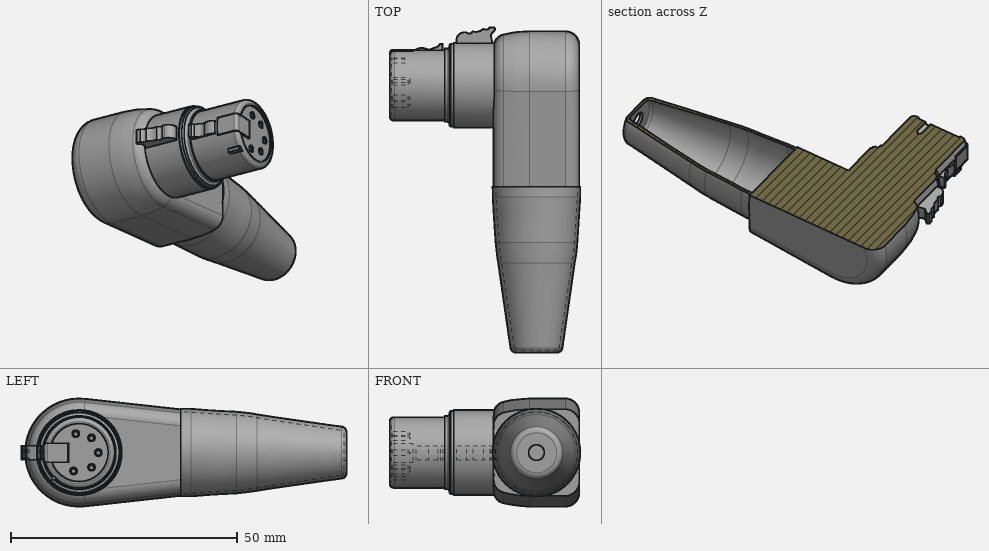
import cadquery as cq
import math


HEAD_DIAMETER = 24.0
HEAD_RADIUS = HEAD_DIAMETER / 2
HOUSING_HALF_WIDTH = 9.5
HOUSING_END_Y = -22.5
TAPER_ANGLE = 6.3
BACK_EDGE_RADIUS = 3.2
FRONT_EDGE_RADIUS = 2.95
CROWN_RADIUS = 22.3
CROWN_ANGLE = 15.0

BOOT_COLLAR_RADIUS = 9.7
BOOT_COLLAR_END_Y = -24.7
BOOT_BEND_START_Y = -34.8
BOOT_BEND_START_RADIUS = 9.1
BOOT_BEND_END_Y = -39.25
BOOT_BEND_END_RADIUS = 8.5
BOOT_TIP_Y = -59.2
BOOT_TIP_RADIUS = 5.6
BOOT_TIP_FILLET = 1.4
CABLE_HOLE_RADIUS = 1.7
BOOT_WALL = 0.7

FACE_X = -32.5
NOSE_RADIUS = 7.85
NOSE_FILLET = 1.0
NOSE_END_X = -20.3
LIP_RADIUS = 8.15
LIP_END_X = -19.75
SHOULDER_X = -19.3
SHOULDER_RADIUS = 9.2
SHOULDER_CHAMFER = 0.35
SLEEVE_X = -18.3
SLEEVE_RADIUS = 9.4

RECESS_RADIUS = 6.4
RECESS_DEPTH = 0.35
CONTACT_CIRCLE_RADIUS = 4.25
CONTACT_MOUTH_RADIUS = 0.8
CONTACT_HOLE_RADIUS = 0.6
CONTACT_HOLE_DEPTH = 3.6
CONTACT_ANGLES = (-107.0, -50.0, 0.0, 50.0, 100.0)

LATCH_BLOCK_WIDTH = 4.2
LATCH_BLOCK_DEPTH = 5.1
LATCH_BLOCK_BOTTOM_Y = 2.3
LATCH_BLOCK_CHAMFER = 0.2
LATCH_BLOCK_FILLET = 0.8
LATCH_WIDTH = 3.1
LATCH_ROOT_Y = 6.85
TOOTH_TOP_Y = 9.15
TOOTH_BACK_X = -20.75
BUMP_START_X = -26.7
BUMP_TOP = (-25.35, 8.3)
BUMP_END_X = -24.0
LEVER_TOP_Y = 12.8
LEVER_FRONT_X = -17.7
LEVER_BACK_X = -9.7

KEY_WIDTH = 1.9
KEY_HEIGHT = 0.9
KEY_LENGTH = 2.9
KEY_Y = 5.2
KEY_Z = -5.6
KEY_SETBACK = 0.4


def make_housing():
    """Crowned section revolved into the head and run out along both tapered sides."""
    crown = math.radians(CROWN_ANGLE)
    half_crown = crown / 2
    front_edge_x = -HOUSING_HALF_WIDTH + FRONT_EDGE_RADIUS * (1 - math.sin(crown))
    crown_start_x = front_edge_x + CROWN_RADIUS * math.sin(crown)
    front_edge_r = HEAD_RADIUS - CROWN_RADIUS * (1 - math.cos(crown))
    front_face_r = front_edge_r - FRONT_EDGE_RADIUS * math.cos(crown)
    crown_mid = (
        crown_start_x - CROWN_RADIUS * math.sin(half_crown),
        HEAD_RADIUS - CROWN_RADIUS * (1 - math.cos(half_crown)),
    )
    back_edge_x = HOUSING_HALF_WIDTH - BACK_EDGE_RADIUS

    section = (
        cq.Workplane("XZ")
        .moveTo(-HOUSING_HALF_WIDTH, 0)
        .lineTo(HOUSING_HALF_WIDTH, 0)
        .lineTo(HOUSING_HALF_WIDTH, HEAD_RADIUS - BACK_EDGE_RADIUS)
        .tangentArcPoint((back_edge_x, HEAD_RADIUS), relative=False)
        .lineTo(crown_start_x, HEAD_RADIUS)
        .threePointArc(crown_mid, (front_edge_x, front_edge_r))
        .tangentArcPoint((-HOUSING_HALF_WIDTH, front_face_r), relative=False)
        .close()
        .wire()
    )
    head = cq.Workplane("XZ").add(section).toPending().revolve(360, (0, 0), (1, 0))
    side = cq.Workplane("XZ").add(section).toPending().extrude(2 * abs(HOUSING_END_Y))
    upper_side = side.rotate((0, 0, 0), (1, 0, 0), TAPER_ANGLE)
    lower_side = upper_side.mirror("XY")
    keep_length = HEAD_RADIUS - HOUSING_END_Y
    keep = (
        cq.Workplane("XY")
        .box(2 * HOUSING_HALF_WIDTH, keep_length, HEAD_DIAMETER)
        .translate((0, HEAD_RADIUS - keep_length / 2, 0))
    )
    return head.union(upper_side).union(lower_side).intersect(keep)


def boot_solid(inset):
    """Turned boot shape around the cable axis, with every outer face moved in by inset."""
    tip_y = BOOT_TIP_Y + inset
    return (
        cq.Workplane("XY")
        .moveTo(0, HOUSING_END_Y)
        .lineTo(BOOT_COLLAR_RADIUS - inset, HOUSING_END_Y)
        .lineTo(BOOT_COLLAR_RADIUS - inset, BOOT_COLLAR_END_Y)
        .lineTo(BOOT_BEND_START_RADIUS - inset, BOOT_BEND_START_Y)
        .tangentArcPoint((BOOT_BEND_END_RADIUS - inset, BOOT_BEND_END_Y), relative=False)
        .lineTo(BOOT_TIP_RADIUS - inset, tip_y)
        .lineTo(0, tip_y)
        .close()
        .revolve(360, (0, 0), (0, 1))
        .faces("<Y")
        .edges()
        .fillet(BOOT_TIP_FILLET - inset)
    )


def make_boot():
    """Hollow strain relief with a cable hole through its tip wall."""
    cable_hole = (
        cq.Workplane("XZ", origin=(0, BOOT_TIP_Y, 0))
        .circle(CABLE_HOLE_RADIUS)
        .extrude(-2 * BOOT_WALL)
    )
    return boot_solid(0).cut(boot_solid(BOOT_WALL)).cut(cable_hole)


def make_barrel():
    """Turned plug barrel: nose, lip, concave neck, chamfered shoulder and sleeve."""
    neck_radius = SHOULDER_RADIUS - SHOULDER_CHAMFER
    return (
        cq.Workplane("XY")
        .moveTo(FACE_X, 0)
        .lineTo(FACE_X, NOSE_RADIUS - NOSE_FILLET)
        .tangentArcPoint((FACE_X + NOSE_FILLET, NOSE_RADIUS), relative=False)
        .lineTo(NOSE_END_X, NOSE_RADIUS)
        .lineTo(NOSE_END_X, LIP_RADIUS)
        .lineTo(LIP_END_X, LIP_RADIUS)
        .tangentArcPoint((SHOULDER_X, neck_radius), relative=False)
        .lineTo(SHOULDER_X + SHOULDER_CHAMFER, SHOULDER_RADIUS)
        .lineTo(SLEEVE_X, SHOULDER_RADIUS)
        .lineTo(SLEEVE_X, SLEEVE_RADIUS)
        .lineTo(0, SLEEVE_RADIUS)
        .lineTo(0, 0)
        .close()
        .revolve(360, (0, 0), (1, 0))
    )


def make_contact_cuts():
    """Shallow round recess in the plug face with a ring of countersunk, cone-bottomed holes."""
    floor_x = FACE_X + RECESS_DEPTH
    countersink_x = floor_x + CONTACT_MOUTH_RADIUS - CONTACT_HOLE_RADIUS
    hole_end_x = floor_x + CONTACT_HOLE_DEPTH
    hole = (
        cq.Workplane("XY")
        .moveTo(FACE_X, 0)
        .lineTo(FACE_X, CONTACT_MOUTH_RADIUS)
        .lineTo(floor_x, CONTACT_MOUTH_RADIUS)
        .lineTo(countersink_x, CONTACT_HOLE_RADIUS)
        .lineTo(hole_end_x, CONTACT_HOLE_RADIUS)
        .lineTo(hole_end_x + CONTACT_HOLE_RADIUS, 0)
        .close()
        .revolve(360, (0, 0), (1, 0))
        .translate((0, -CONTACT_CIRCLE_RADIUS, 0))
    )
    cuts = cq.Workplane("YZ", origin=(FACE_X, 0, 0)).circle(RECESS_RADIUS).extrude(RECESS_DEPTH)
    for angle in CONTACT_ANGLES:
        cuts = cuts.union(hole.rotate((0, 0, 0), (1, 0, 0), -angle))
    return cuts


def make_latch_block():
    """Block flush with the plug face, breaking through the nose rim."""
    height = NOSE_RADIUS - LATCH_BLOCK_BOTTOM_Y
    return (
        cq.Workplane("XY")
        .box(LATCH_BLOCK_DEPTH, height, LATCH_BLOCK_WIDTH)
        .edges("<X and >Y")
        .fillet(LATCH_BLOCK_FILLET)
        .edges("<X and <Y")
        .chamfer(LATCH_BLOCK_CHAMFER)
        .translate((FACE_X + LATCH_BLOCK_DEPTH / 2, LATCH_BLOCK_BOTTOM_Y + height / 2, 0))
    )


def make_latch_tooth():
    """Low bump and stepped catch ramp on top of the nose."""
    return (
        cq.Workplane("XY")
        .moveTo(BUMP_START_X, LATCH_ROOT_Y)
        .lineTo(BUMP_START_X, NOSE_RADIUS)
        .threePointArc(BUMP_TOP, (BUMP_END_X, NOSE_RADIUS))
        .lineTo(-23.4, 8.0)
        .lineTo(-21.8, 8.6)
        .lineTo(-21.3, TOOTH_TOP_Y)
        .lineTo(TOOTH_BACK_X, TOOTH_TOP_Y)
        .lineTo(TOOTH_BACK_X, LATCH_ROOT_Y)
        .close()
        .extrude(LATCH_WIDTH / 2, both=True)
    )


def make_latch_lever():
    """Thumb lever on the sleeve, scalloped along its top edge."""
    return (
        cq.Workplane("XY")
        .moveTo(LEVER_FRONT_X, LATCH_ROOT_Y)
        .lineTo(LEVER_FRONT_X, 10.1)
        .threePointArc((-17.15, 11.25), (-16.0, 11.75))
        .lineTo(-15.5, 11.75)
        .threePointArc((-14.85, 11.45), (-14.1, 11.95))
        .threePointArc((-12.9, 11.9), (-11.75, 12.5))
        .threePointArc((-11.1, 12.3), (-10.4, LEVER_TOP_Y))
        .lineTo(-9.3, LEVER_TOP_Y)
        .lineTo(-9.1, 12.3)
        .lineTo(-10.1, 11.2)
        .lineTo(LEVER_BACK_X, SLEEVE_RADIUS)
        .lineTo(LEVER_BACK_X, LATCH_ROOT_Y)
        .close()
        .extrude(LATCH_WIDTH / 2, both=True)
    )


def make_key():
    """Keying rib standing out of the nose just behind the plug face."""
    key_x = FACE_X + KEY_SETBACK + KEY_LENGTH / 2
    return (
        cq.Workplane("XY")
        .box(KEY_LENGTH, KEY_WIDTH, KEY_HEIGHT)
        .translate((key_x, KEY_Y, KEY_Z))
    )


result = (
    make_housing()
    .union(make_boot())
    .union(make_barrel())
    .cut(make_contact_cuts())
    .union(make_latch_block())
    .union(make_latch_tooth())
    .union(make_latch_lever())
    .union(make_key())
)